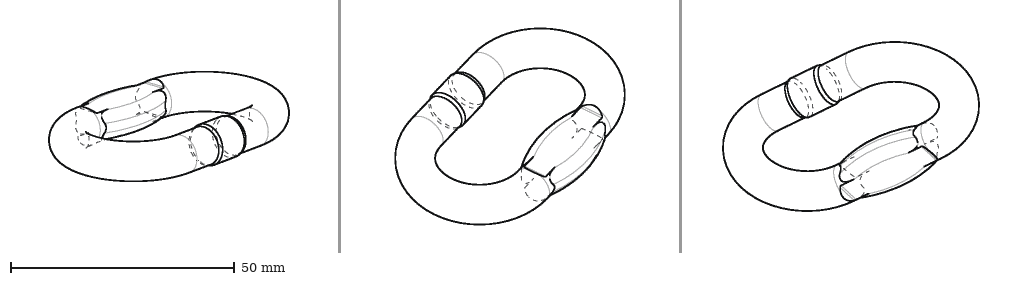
import cadquery as cq

overall_length = 62
wire_diameter = 9.0
straight_length = 24.1
wire_radius = wire_diameter / 2
bend_radius = (overall_length - wire_diameter - straight_length) / 2
half_straight = straight_length / 2

sleeve_diameter = 9.65
sleeve_full_length = 7.3
sleeve_taper = 0.9

lug_thickness = 6.9
lug_length = 21.8
lug_half_width = 6.4
lug_side_radius = 27.25
lug_edge_fillet = 2.3
flat_floor_length = 22.7
flat_foot_fillet = 0.6


def make_ring():
    path = (
        cq.Workplane("XY")
        .moveTo(bend_radius, -half_straight)
        .lineTo(bend_radius, half_straight)
        .threePointArc((0, half_straight + bend_radius), (-bend_radius, half_straight))
        .lineTo(-bend_radius, -half_straight)
        .threePointArc((0, -half_straight - bend_radius), (bend_radius, -half_straight))
        .close()
    )
    section = cq.Workplane("XZ", origin=(bend_radius, -half_straight, 0)).circle(wire_radius)
    return section.sweep(path)


def make_sleeve():
    """Cylinder with conical ends that run out on the wire surface."""
    half_full = sleeve_full_length / 2
    half_total = half_full + sleeve_taper
    sleeve_radius = sleeve_diameter / 2
    profile = (
        cq.Workplane("XY", origin=(bend_radius, 0, 0))
        .moveTo(0, -half_total)
        .lineTo(wire_radius, -half_total)
        .lineTo(sleeve_radius, -half_full)
        .lineTo(sleeve_radius, half_full)
        .lineTo(wire_radius, half_total)
        .lineTo(0, half_total)
        .close()
    )
    return profile.revolve(360, (0, 0, 0), (0, 1, 0))


def make_flat_cutter():
    """Trough across the top of the wire, with 45 degree ends and rounded feet."""
    floor_z = lug_thickness / 2
    half_floor = flat_floor_length / 2
    depth = wire_diameter - floor_z
    return (
        cq.Workplane("YZ", origin=(-bend_radius, 0, 0))
        .moveTo(-half_floor, floor_z)
        .lineTo(half_floor, floor_z)
        .lineTo(half_floor + depth, floor_z + depth)
        .lineTo(-half_floor - depth, floor_z + depth)
        .close()
        .extrude(wire_radius, both=True)
        .edges("|X and <Z")
        .fillet(flat_foot_fillet)
    )


def make_lug():
    """Plate with bulging sides, its ends buried in the wire."""
    half_length = lug_length / 2
    sagitta = lug_side_radius - (lug_side_radius**2 - half_length**2) ** 0.5
    half_end = lug_half_width - sagitta
    return (
        cq.Workplane("XY", origin=(-bend_radius, 0, -lug_thickness / 2))
        .moveTo(-half_end, -half_length)
        .lineTo(half_end, -half_length)
        .threePointArc((lug_half_width, 0), (half_end, half_length))
        .lineTo(-half_end, half_length)
        .threePointArc((-lug_half_width, 0), (-half_end, -half_length))
        .close()
        .extrude(lug_thickness)
        .edges("%CIRCLE")
        .fillet(lug_edge_fillet)
    )


top_cutter = make_flat_cutter()
bottom_cutter = top_cutter.mirror("XY")
result = make_ring().cut(top_cutter).cut(bottom_cutter).union(make_lug()).union(make_sleeve())